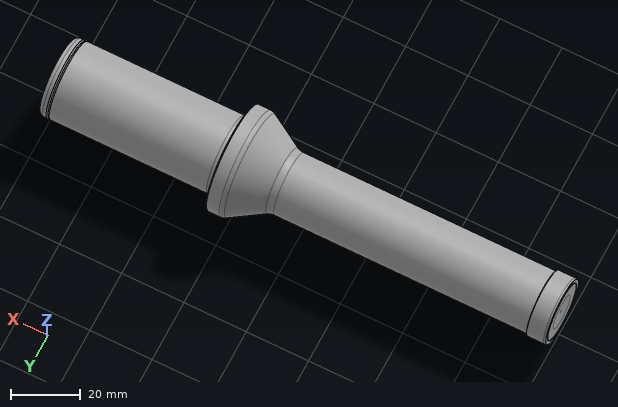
import cadquery as cq

TOTAL_LENGTH = 162.0
FRONT_X = -TOTAL_LENGTH / 2
REAR_X = TOTAL_LENGTH / 2

TIP_DIAMETER = 21.0
TIP_LENGTH = 6.2
TIP_CHAMFER_LENGTH = 0.6
TIP_CHAMFER_DEPTH = 0.2
RECESS_DIAMETER = 18.1
RECESS_DEPTH = 0.2
DISH_DIAMETER = 10.7
DISH_FLOOR_DIAMETER = 0.6
DISH_DEPTH = 0.3

SHANK_DIAMETER = 20.0
FILLET_START = 87.6
CONE_START = 89.9
CONE_START_DIAMETER = 20.9
CONE_END = 100.1
CONE_END_DIAMETER = 32.9
CONE_SLOPE = (CONE_END_DIAMETER - CONE_START_DIAMETER) / (CONE_END - CONE_START) / 2

COLLAR_DIAMETER = 34.0
COLLAR_START = 101.5
COLLAR_END = 106.0
COLLAR_CHAMFER = 0.3

REAR_DIAMETER = 25.0
RELIEF_DIAMETER = 24.5
RELIEF_LENGTH = 1.0
RELIEF_TAPER = 1.0
GROOVE_DIAMETER = 24.5
GROOVE_START = 158.5
GROOVE_WIDTH = 1.0
END_ROUND = 1.5


def revolve_about_x(profile):
    """Revolve a closed half profile, drawn above the X axis, into a solid."""
    return profile.close().revolve(360, (0, 0, 0), (1, 0, 0))


def make_tip():
    recess_floor = FRONT_X + RECESS_DEPTH
    dish_floor = recess_floor + DISH_DEPTH
    profile = (
        cq.Workplane("XY")
        .moveTo(dish_floor, 0)
        .lineTo(dish_floor, DISH_FLOOR_DIAMETER / 2)
        .lineTo(recess_floor, DISH_DIAMETER / 2)
        .lineTo(recess_floor, RECESS_DIAMETER / 2)
        .lineTo(FRONT_X, RECESS_DIAMETER / 2)
        .lineTo(FRONT_X, TIP_DIAMETER / 2 - TIP_CHAMFER_DEPTH)
        .lineTo(FRONT_X + TIP_CHAMFER_LENGTH, TIP_DIAMETER / 2)
        .lineTo(FRONT_X + TIP_LENGTH, TIP_DIAMETER / 2)
        .lineTo(FRONT_X + TIP_LENGTH, 0)
    )
    return revolve_about_x(profile)


def make_holder():
    relief_end = COLLAR_END + RELIEF_LENGTH
    profile = (
        cq.Workplane("XY")
        .moveTo(FRONT_X + TIP_LENGTH, 0)
        .lineTo(FRONT_X + TIP_LENGTH, SHANK_DIAMETER / 2)
        .lineTo(FRONT_X + FILLET_START, SHANK_DIAMETER / 2)
        .spline(
            [(FRONT_X + CONE_START, CONE_START_DIAMETER / 2)],
            tangents=[(1, 0), (1, CONE_SLOPE)],
            includeCurrent=True,
        )
        .lineTo(FRONT_X + CONE_END, CONE_END_DIAMETER / 2)
        .spline(
            [(FRONT_X + COLLAR_START, COLLAR_DIAMETER / 2)],
            tangents=[(1, CONE_SLOPE), (1, 0)],
            includeCurrent=True,
        )
        .lineTo(FRONT_X + COLLAR_END - COLLAR_CHAMFER, COLLAR_DIAMETER / 2)
        .lineTo(FRONT_X + COLLAR_END, COLLAR_DIAMETER / 2 - COLLAR_CHAMFER)
        .lineTo(FRONT_X + COLLAR_END, RELIEF_DIAMETER / 2)
        .lineTo(FRONT_X + relief_end, RELIEF_DIAMETER / 2)
        .lineTo(FRONT_X + relief_end + RELIEF_TAPER, REAR_DIAMETER / 2)
        .lineTo(FRONT_X + GROOVE_START, REAR_DIAMETER / 2)
        .lineTo(FRONT_X + GROOVE_START + GROOVE_WIDTH / 2, GROOVE_DIAMETER / 2)
        .lineTo(FRONT_X + GROOVE_START + GROOVE_WIDTH, REAR_DIAMETER / 2)
        .lineTo(REAR_X - END_ROUND, REAR_DIAMETER / 2)
        .radiusArc((REAR_X, REAR_DIAMETER / 2 - END_ROUND), END_ROUND)
        .lineTo(REAR_X, 0)
    )
    return revolve_about_x(profile)


tip = make_tip()
holder = make_holder()

result = cq.Compound.makeCompound([tip.val(), holder.val()])